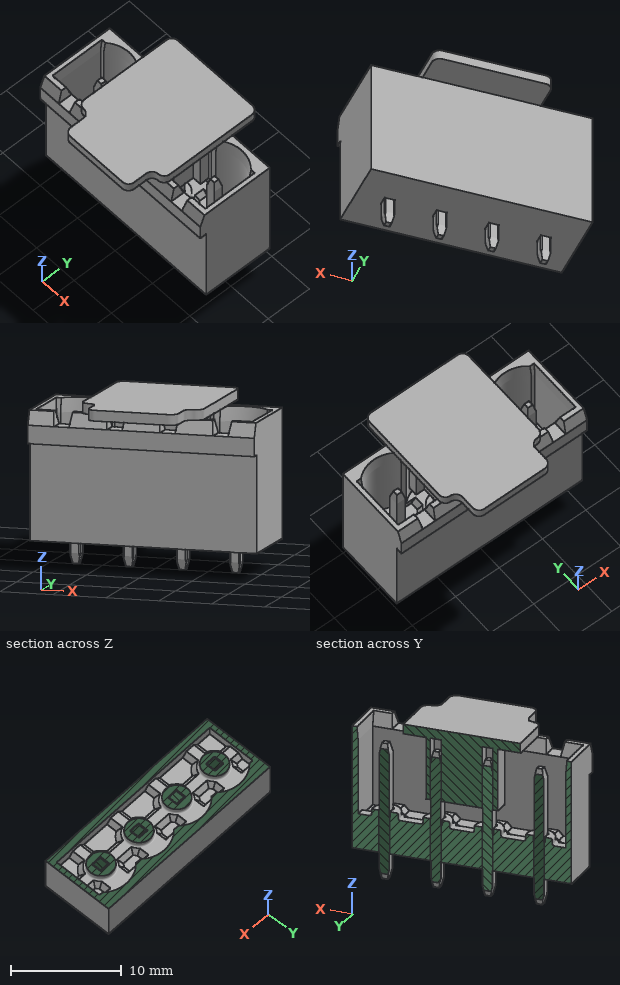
import cadquery as cq


LENGTH = 21.4
HEIGHT = 12.03
BACK_Y = 3.9
FRONT_Y = -3.9
LIP_Y = -4.6
LIP_HEIGHT = 3.0
LIP_TOP_SETBACK = 0.51

MOUTH_DEPTH = 1.3
CAVITY_HALF_LENGTH = 10.1
CAVITY_BACK_Y = 2.23
CAVITY_FRONT_Y = -3.02
END_FLARE = 0.1
BACK_FLARE = 0.25
FRONT_FLARE = 0.51
FLOOR_Z = 3.0
MOUTH_Z = HEIGHT - MOUTH_DEPTH

POSITIONS = 4
SOCKET_PITCH = 5.0
POCKET_RADIUS = 3.12
POCKET_MOUTH_RADIUS = 3.34

NOTCH_TOP_WIDTH = 1.8
NOTCH_BOTTOM_WIDTH = 1.41

RIB_HEIGHT = 0.5
RIB_TOP_Z = FLOOR_Z + RIB_HEIGHT
LONG_RIB_WIDTH = 1.03
FRONT_RIB_WIDTH = 0.98
BACK_RIB_WIDTH = 2.3
BOSS_RADIUS = 1.63
COLLAR_RADIUS = 1.37
COLLAR_FILLET = 0.2
COLLAR_HEIGHT = 0.68
COLLAR_TOP_Z = RIB_TOP_Z + COLLAR_HEIGHT
RECESS_WIDTH = 1.1
RECESS_SHIFT_X = -0.032
RECESS_SHIFT_Y = 0.02
RECESS_DEPTH = 0.5

PIN_PITCH = 5.03
PIN_ROW_X = 0.032
PIN_Y = -0.02
PIN_WIDTH = 1.0
PIN_TIP_WIDTH = 0.54
PIN_TAPER = 1.0
PIN_CHAMFER = 0.13
PIN_BOTTOM_Z = -2.57
PIN_TOP_Z = 10.76

CAP_THICKNESS = 0.98
CAP_WIDTH = 11.45
CAP_BACK_Y = 7.0
CAP_FRONT_Y = -7.51
TONGUE_LENGTH = 3.0
CAP_CORNER_RADIUS = 0.75
LEG_BOTTOM_Z = 6.0
LEG_WIDTH = 7.02
LEG_FRONT_Y = -1.28
LEG_STEP_Y = 1.11
LEG_BACK_Y = 2.1
LEG_BACK_WIDTH = 8.95


def row(pitch, middle=0.0):
    return [middle + pitch * (i - (POSITIONS - 1) / 2) for i in range(POSITIONS)]


SOCKET_XS = row(SOCKET_PITCH)
PIN_XS = row(PIN_PITCH, PIN_ROW_X)


def block(x0, x1, y0, y1, z0, z1):
    return cq.Workplane("XY").box(x1 - x0, y1 - y0, z1 - z0, centered=False).translate((x0, y0, z0))


def square_bar(x, y, width, z0, z1):
    half = width / 2
    return block(x - half, x + half, y - half, y + half, z0, z1)


def cone(x, z, base_radius, top_radius, height):
    return cq.Workplane(cq.Solid.makeCone(base_radius, top_radius, height, pnt=cq.Vector(x, 0, z)))


def make_shell():
    profile = [
        (BACK_Y, 0),
        (FRONT_Y, 0),
        (FRONT_Y, HEIGHT - LIP_HEIGHT),
        (LIP_Y, HEIGHT - LIP_HEIGHT),
        (LIP_Y, MOUTH_Z),
        (LIP_Y + LIP_TOP_SETBACK, HEIGHT),
        (BACK_Y, HEIGHT),
    ]
    return cq.Workplane("YZ").polyline(profile).close().extrude(LENGTH / 2, both=True)


def make_cavity():
    length = 2 * CAVITY_HALF_LENGTH
    depth = CAVITY_BACK_Y - CAVITY_FRONT_Y
    middle_y = (CAVITY_BACK_Y + CAVITY_FRONT_Y) / 2
    mouth = (
        cq.Workplane("XY", origin=(0, middle_y, MOUTH_Z))
        .rect(length, depth)
        .workplane(offset=MOUTH_DEPTH)
        .center(0, (BACK_FLARE - FRONT_FLARE) / 2)
        .rect(length + 2 * END_FLARE, depth + BACK_FLARE + FRONT_FLARE)
        .loft(ruled=True)
    )
    well = block(
        -CAVITY_HALF_LENGTH, CAVITY_HALF_LENGTH, CAVITY_FRONT_Y, CAVITY_BACK_Y, FLOOR_Z, MOUTH_Z
    )
    return well.union(mouth)


def make_back_pocket(x):
    """Round pocket cut into the back wall only, flared at the mouth."""
    bore = cq.Workplane("XY", origin=(x, 0, RIB_TOP_Z)).circle(POCKET_RADIUS).extrude(MOUTH_Z - RIB_TOP_Z)
    bore = bore.union(cone(x, MOUTH_Z, POCKET_RADIUS, POCKET_MOUTH_RADIUS, MOUTH_DEPTH))
    back_wall = block(-LENGTH / 2, LENGTH / 2, CAVITY_BACK_Y, BACK_Y, 0, HEIGHT)
    return bore.intersect(back_wall)


def make_notch(x):
    top, bottom = NOTCH_TOP_WIDTH / 2, NOTCH_BOTTOM_WIDTH / 2
    outline = [(x - bottom, MOUTH_Z), (x + bottom, MOUTH_Z), (x + top, HEIGHT), (x - top, HEIGHT)]
    return (
        cq.Workplane("XZ", origin=(0, CAVITY_FRONT_Y, 0))
        .polyline(outline)
        .close()
        .extrude(CAVITY_FRONT_Y - LIP_Y)
    )


def make_rib(plane, origin, top_width, length):
    """Floor rib with 45-degree flanks, run along the plane's normal from the origin."""
    top = top_width / 2
    base = top + RIB_HEIGHT
    outline = [(-base, 0), (base, 0), (top, RIB_HEIGHT), (-top, RIB_HEIGHT)]
    return cq.Workplane(plane, origin=origin).polyline(outline).close().extrude(length)


def make_collar(x):
    """Round collar with a rounded top edge and a filleted foot, sunk to the cavity floor inside the boss."""
    foot_top = RIB_HEIGHT + COLLAR_FILLET
    top = RIB_HEIGHT + COLLAR_HEIGHT
    foot_radius = COLLAR_RADIUS + COLLAR_FILLET
    return (
        cq.Workplane("XZ", origin=(x, 0, FLOOR_Z))
        .lineTo(foot_radius, 0)
        .lineTo(foot_radius, RIB_HEIGHT)
        .radiusArc((COLLAR_RADIUS, foot_top), COLLAR_FILLET)
        .lineTo(COLLAR_RADIUS, top - COLLAR_FILLET)
        .radiusArc((COLLAR_RADIUS - COLLAR_FILLET, top), -COLLAR_FILLET)
        .lineTo(0, top)
        .close()
        .revolve(360, (0, 0, 0), (0, 1, 0))
    )


def make_socket_floor(x):
    front_rib = make_rib("XZ", (x, 0, FLOOR_Z), FRONT_RIB_WIDTH, -CAVITY_FRONT_Y)
    back_rib = make_rib("XZ", (x, 0, FLOOR_Z), BACK_RIB_WIDTH, -CAVITY_BACK_Y)
    boss = cone(x, FLOOR_Z, BOSS_RADIUS + RIB_HEIGHT, BOSS_RADIUS, RIB_HEIGHT)
    return boss.union(front_rib).union(back_rib).union(make_collar(x))


def make_pin_opening(x):
    """Close-fitting square bore, with a slightly wider off-centre recess at the collar's top."""
    bore = square_bar(x, PIN_Y, PIN_WIDTH, 0, COLLAR_TOP_Z)
    recess_x, recess_y = x + RECESS_SHIFT_X, PIN_Y + RECESS_SHIFT_Y
    recess = square_bar(recess_x, recess_y, RECESS_WIDTH, COLLAR_TOP_Z - RECESS_DEPTH, COLLAR_TOP_Z)
    return bore.union(recess)


def make_housing():
    housing = make_shell().cut(make_cavity())
    for x in SOCKET_XS:
        housing = housing.cut(make_back_pocket(x)).cut(make_notch(x))
    long_rib_origin = (-CAVITY_HALF_LENGTH, 0, FLOOR_Z)
    housing = housing.union(make_rib("YZ", long_rib_origin, LONG_RIB_WIDTH, 2 * CAVITY_HALF_LENGTH))
    for x in SOCKET_XS:
        housing = housing.union(make_socket_floor(x))
    for x in PIN_XS:
        housing = housing.cut(make_pin_opening(x))
    return housing


def make_pin_taper(x, z, height):
    """Square point: full pin width at z, tip width at z + height."""
    return (
        cq.Workplane("XY", origin=(x, PIN_Y, z))
        .rect(PIN_WIDTH, PIN_WIDTH)
        .workplane(offset=height)
        .rect(PIN_TIP_WIDTH, PIN_TIP_WIDTH)
        .loft(ruled=True)
    )


def make_pin(x):
    """Square shaft inside the housing and a tail below it with chamfered edges, pointed at both ends."""
    upper = square_bar(x, PIN_Y, PIN_WIDTH, 0, PIN_TOP_Z - PIN_TAPER)
    upper = upper.union(make_pin_taper(x, PIN_TOP_Z - PIN_TAPER, PIN_TAPER))
    tail = square_bar(x, PIN_Y, PIN_WIDTH, PIN_BOTTOM_Z + PIN_TAPER, 0)
    tail = tail.union(make_pin_taper(x, PIN_BOTTOM_Z + PIN_TAPER, -PIN_TAPER))
    chamfered_bar = square_bar(x, PIN_Y, PIN_WIDTH, PIN_BOTTOM_Z, 0).edges("|Z").chamfer(PIN_CHAMFER)
    return upper.union(tail.intersect(chamfered_bar))


def make_cap_plate():
    """Plate with rounded corners; each side runs into the tongue through two opposite quarter arcs."""
    r = CAP_CORNER_RADIUS
    half = CAP_WIDTH / 2
    neck_x = half - r
    tongue_half = neck_x - r
    shoulder_y = CAP_FRONT_Y + TONGUE_LENGTH
    return (
        cq.Workplane("XY", origin=(0, 0, HEIGHT))
        .moveTo(0, CAP_BACK_Y)
        .lineTo(half - r, CAP_BACK_Y)
        .radiusArc((half, CAP_BACK_Y - r), r)
        .lineTo(half, shoulder_y + r)
        .radiusArc((neck_x, shoulder_y), r)
        .radiusArc((tongue_half, shoulder_y - r), -r)
        .lineTo(tongue_half, CAP_FRONT_Y + r)
        .radiusArc((tongue_half - r, CAP_FRONT_Y), r)
        .lineTo(0, CAP_FRONT_Y)
        .mirrorY()
        .extrude(CAP_THICKNESS)
    )


def make_cap_leg():
    leg = block(-LEG_WIDTH / 2, LEG_WIDTH / 2, LEG_FRONT_Y, LEG_STEP_Y, LEG_BOTTOM_Z, HEIGHT)
    leg_back = block(
        -LEG_BACK_WIDTH / 2, LEG_BACK_WIDTH / 2, LEG_STEP_Y, LEG_BACK_Y, LEG_BOTTOM_Z, HEIGHT
    )
    leg = leg.union(leg_back)
    for x in PIN_XS[1:-1]:
        leg = leg.cut(square_bar(x, PIN_Y, PIN_WIDTH, LEG_BOTTOM_Z, HEIGHT))
    return leg


housing = make_housing()
cap = make_cap_plate().union(make_cap_leg())
pins = [make_pin(x) for x in PIN_XS]

result = cq.Compound.makeCompound([housing.val(), cap.val(), *[pin.val() for pin in pins]])